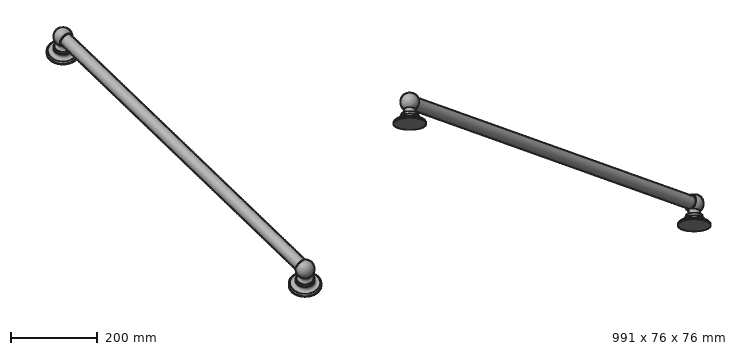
import cadquery as cq

length = 991.0
height = 76.0
flange_radius = height / 2

ball_diameter = 45.0
ball_radius = ball_diameter / 2
ball_flat_offset = 12.0
bar_diameter = 32.0
bar_radius = bar_diameter / 2
ball_height = height - ball_radius
post_offset = length / 2 - flange_radius

rim_top_radius = 35.0
step_radius = 23.0
collar_radius = 20.0
neck_mid_radius = 15.0
neck_diameter = 27.0
neck_radius = neck_diameter / 2

foot_fillet = 6.0

rim_height = 3.0
flange_height = 7.0
step_top = 17.0
collar_top = 24.0
neck_mid_height = 28.0
neck_base = 33.0


def make_post():
    """Turned post with flared foot and neck, centred on the Z axis."""
    profile = (
        cq.Workplane("XZ")
        .lineTo(flange_radius, 0)
        .lineTo(flange_radius, rim_height)
        .lineTo(rim_top_radius, flange_height)
        .lineTo(step_radius + foot_fillet, flange_height)
        .tangentArcPoint((step_radius, flange_height + foot_fillet), relative=False)
        .lineTo(step_radius, step_top)
        .lineTo(collar_radius, step_top)
        .lineTo(collar_radius, collar_top)
        .threePointArc((neck_mid_radius, neck_mid_height), (neck_radius, neck_base))
        .lineTo(neck_radius, ball_height)
        .lineTo(0, ball_height)
        .close()
    )
    return profile.revolve(360, (0, 0, 0), (0, 1, 0))


def make_ball():
    """Ball cut flat on its +X side, where the bar enters."""
    keep_box = cq.Workplane("XY").box(ball_diameter, ball_diameter, ball_diameter)
    keep_box = keep_box.translate((ball_flat_offset - ball_radius, 0, 0))
    ball = cq.Workplane("XY").sphere(ball_radius).intersect(keep_box)
    return ball.translate((0, 0, ball_height))


bar = (
    cq.Workplane("YZ", origin=(-post_offset, 0, ball_height))
    .circle(bar_radius)
    .extrude(2 * post_offset)
)

left_end = make_post().union(make_ball()).translate((-post_offset, 0, 0))
result = bar.union(left_end).union(left_end.mirror("YZ"))